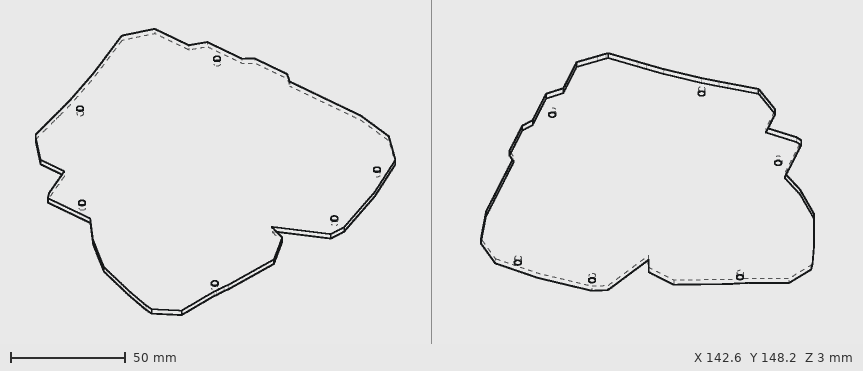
import cadquery as cq

width = 142.6
height = 148.2
thickness = 3.0
hole_diameter = 3.0

shoulder_y = 145.1
left_top_y = 139.2
left_bottom_y = 47.5
step_y = 30.2
left_corner_x = 10.0
right_corner_x = 139.9

left_middle_y = (left_top_y + left_bottom_y) / 2
upper_left_side = [
    (1.6, 102.1),
    (1.2, 110.0),
    (0.9, 114.1),
    (0.0, 127.9),
    (0.7, 129.0),
    (3.4, 131.9),
]
lower_left_side = [(x, 2 * left_middle_y - y) for x, y in reversed(upper_left_side)]

top_edge = [
    (left_corner_x, left_top_y),
    (27.5, left_top_y),
    (33.3, shoulder_y),
    (51.3, shoulder_y),
    (56.0, height),
    (72.9, height),
    (76.2, shoulder_y),
    (113.1, shoulder_y),
    (130.0, 141.5),
]

right_edge = [
    (right_corner_x, 131.5),
    (width, 110.7),
    (width, 86.0),
    (right_corner_x, 79.5),
]

notch_and_lobe = [
    (115.9, 69.0),
    (123.2, 66.4),
    (127.2, 53.5),
    (118.6, 30.1),
    (117.5, 28.2),
    (116.0, 24.5),
    (115.5, 23.4),
    (109.7, 6.4),
    (98.3, 0.0),
    (94.7, 0.6),
    (84.3, 3.5),
    (69.4, 8.7),
    (67.3, 9.5),
    (54.7, 20.3),
]

lower_left_step = [
    (46.8, step_y),
    (24.8, step_y),
    (23.5, 33.0),
    (22.2, left_bottom_y),
    (left_corner_x, left_bottom_y),
]

right_holes_x = 136.2
hole_centers = [
    (42.2, left_top_y),
    (right_holes_x, 122.3),
    (right_holes_x, 88.0),
    (8.0, 82.1),
    (38.8, 36.0),
    (113.1, 27.7),
]


def make_plate():
    top_and_right = top_edge + right_edge + notch_and_lobe
    bottom_and_left = lower_left_step + lower_left_side + upper_left_side
    outline = top_and_right + bottom_and_left
    return cq.Workplane("XY").polyline(outline).close().extrude(thickness)


def make_holes():
    return cq.Workplane("XY").pushPoints(hole_centers).circle(hole_diameter / 2).extrude(thickness)


result = make_plate().cut(make_holes())